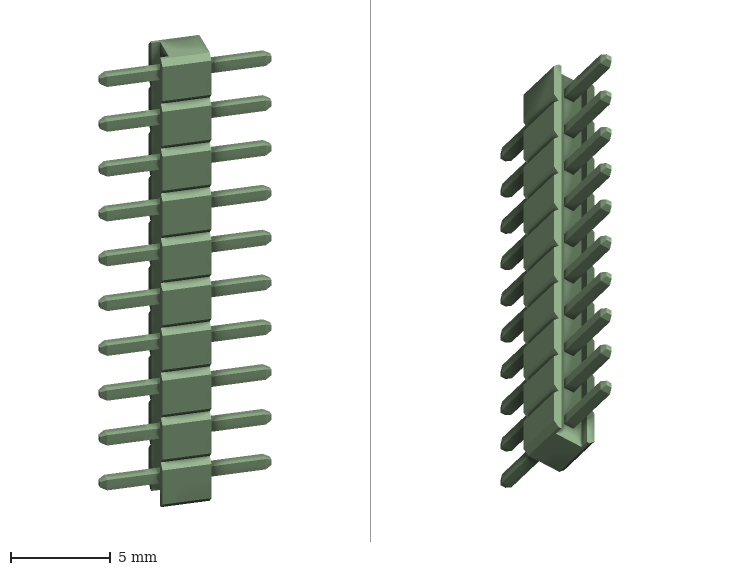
import cadquery as cq

cell_count = 10
pitch = 2.55
corner_chamfer = 0.3
channel_width = 1.6
channel_depth = 0.45
pin_side = 0.58
pin_front_y = -4.45
pin_back_y = 4.45
cell_center_y = -0.25
tip_length = 0.33
tip_side = 0.3

strip_height = cell_count * pitch
cell_front_y = cell_center_y - pitch / 2
pin_shaft_length = pin_back_y - pin_front_y - 2 * tip_length


def make_housing_cell():
    """Cube with chamfered Y edges and a vertical channel in its front face."""
    block = (
        cq.Workplane("XY")
        .box(pitch, pitch, pitch)
        .edges("|Y")
        .chamfer(corner_chamfer)
        .translate((0, cell_center_y, 0))
    )
    channel = (
        cq.Workplane("XY")
        .box(channel_width, channel_depth, pitch, centered=(True, False, True))
        .translate((0, cell_front_y, 0))
    )
    return block.cut(channel)


def make_tip(base_y, direction):
    """Square taper that starts at base_y and points along +Y (1) or -Y (-1)."""
    base_plane = cq.Plane(origin=(0, base_y, 0), xDir=(1, 0, 0), normal=(0, direction, 0))
    return (
        cq.Workplane(base_plane)
        .rect(pin_side, pin_side)
        .workplane(offset=tip_length)
        .rect(tip_side, tip_side)
        .loft(combine=True)
    )


def make_pin():
    """Square pin along Y with a taper at both ends."""
    shaft_front_y = pin_front_y + tip_length
    shaft_back_y = pin_back_y - tip_length
    shaft = (
        cq.Workplane("XY")
        .box(pin_side, pin_shaft_length, pin_side, centered=(True, False, True))
        .translate((0, shaft_front_y, 0))
    )
    return shaft.union(make_tip(shaft_front_y, -1)).union(make_tip(shaft_back_y, 1))


def make_header_cell(center_z):
    """One header position: a housing cell and its pin as a single solid."""
    return make_housing_cell().union(make_pin()).translate((0, 0, center_z))


header_cells = []
for index in range(cell_count):
    center_z = (index + 0.5) * pitch - strip_height / 2
    header_cells.append(make_header_cell(center_z).val())

result = cq.Compound.makeCompound(header_cells)